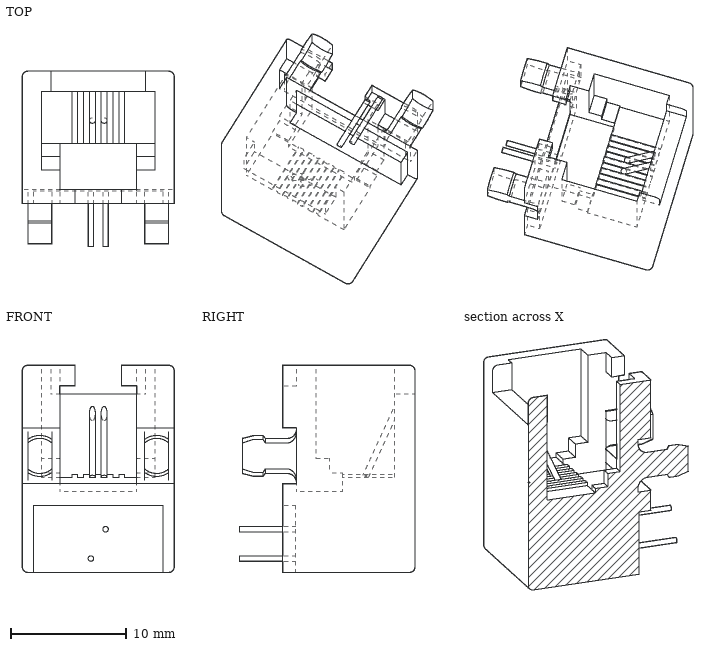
import cadquery as cq
import math

WIDTH = 13.2
DEPTH = 11.5
HEIGHT = 18.0
EDGE_RADIUS = 0.5

CAVITY_WIDTH = 9.84
CAVITY_FRONT = 2.9
CAVITY_BACK = 9.7
FLOOR_Z = 8.24
FLOOR_FRONT = 5.22

KEYWAY_WIDTH = 6.64
KEYWAY_FLOOR_Z = 7.05
LIP_DEPTH = 1.2
LIP_SLOT_WIDTH = 4.0
LIP_BOTTOM_Z = 16.2

STEP_MIDDLE = (CAVITY_FRONT + FLOOR_FRONT) / 2
LOW_STEP_Z = 8.65
HIGH_STEP_Z = 9.88

BACK_NOTCH_WIDTH = 8.22
BACK_NOTCH_Z = 15.5

RECESS_DEPTH = LIP_DEPTH
RECESS_BOTTOM_Z = 7.72
RECESS_TOP_Z = 12.56

POCKET_WIDTH = 11.2
POCKET_HEIGHT = 5.8
POCKET_DEPTH = 1.1

RIB_COUNT = 5
RIB_PITCH = 1.02
RIB_WIDTH = RIB_PITCH / 2
RIB_TOP_Z = 8.53

WIRE_RADIUS = 0.26
WIRE_LOW_Y = 7.2
WIRE_LOW_Z = 8.34
WIRE_HIGH_Z = 13.8
WIRE_EMBED = 0.8

PIN_RADIUS = 0.24
PIN_TIP_Y = -3.75
PIN_EMBED = 1.0
PIN_SPACING_X = 1.27
PIN_LOW_Z = 1.22
PIN_SPACING_Z = 2.54

POST_X = 5.07
POST_Z = 10.12
POST_WIDTH = 2.08
NECK_RADIUS = 1.53
COLLAR_RADIUS = 1.78
ROOT_RADIUS = 0.8
COLLAR_START_Y = -1.5
COLLAR_FULL_Y = -1.7
TAPER_START_Y = -2.5
POST_TIP_Y = -3.5
POST_EMBED = 0.5


def block(width, y_front, y_back, z_low, z_high, x_center=0.0):
    """Box centred on x_center and given by its Y and Z limits."""
    return (
        cq.Workplane("XY")
        .box(width, y_back - y_front, z_high - z_low, centered=(True, False, False))
        .translate((x_center, y_front, z_low))
    )


def make_housing():
    """Rounded shell with the cavity, keyway, recess and pocket removed."""
    body = block(WIDTH, 0, DEPTH, 0, HEIGHT)
    body = body.edges("|Y or >Y").fillet(EDGE_RADIUS)
    cuts = (
        block(CAVITY_WIDTH, FLOOR_FRONT, CAVITY_BACK, FLOOR_Z, HEIGHT),
        block(CAVITY_WIDTH, STEP_MIDDLE, FLOOR_FRONT, LOW_STEP_Z, HEIGHT),
        block(CAVITY_WIDTH, CAVITY_FRONT, STEP_MIDDLE, HIGH_STEP_Z, HEIGHT),
        block(KEYWAY_WIDTH, LIP_DEPTH, FLOOR_FRONT, KEYWAY_FLOOR_Z, HEIGHT),
        block(KEYWAY_WIDTH, 0, LIP_DEPTH, RECESS_BOTTOM_Z, LIP_BOTTOM_Z),
        block(LIP_SLOT_WIDTH, 0, LIP_DEPTH, LIP_BOTTOM_Z, HEIGHT),
        block(BACK_NOTCH_WIDTH, CAVITY_BACK, DEPTH, BACK_NOTCH_Z, HEIGHT),
        block(WIDTH, 0, RECESS_DEPTH, RECESS_BOTTOM_Z, RECESS_TOP_Z),
        block(POCKET_WIDTH, 0, POCKET_DEPTH, 0, POCKET_HEIGHT),
    )
    for cut in cuts:
        body = body.cut(cut)
    return body


def make_rib(x):
    """Rib on the cavity floor, running back to the rear wall."""
    return block(RIB_WIDTH, FLOOR_FRONT, CAVITY_BACK, FLOOR_Z, RIB_TOP_Z, x)


def make_wire(x):
    """Round contact wire between two floor ribs."""
    rise = WIRE_HIGH_Z - WIRE_LOW_Z
    run = CAVITY_BACK - WIRE_LOW_Y
    length = math.hypot(run, rise) + WIRE_EMBED
    start = cq.Vector(x, WIRE_LOW_Y, WIRE_LOW_Z)
    direction = cq.Vector(0, run, rise)
    return cq.Workplane(cq.Solid.makeCylinder(WIRE_RADIUS, length, start, direction))


def make_pin(x, z):
    """Solder pin reaching forward from the pocket wall."""
    length = POCKET_DEPTH + PIN_EMBED - PIN_TIP_Y
    start = cq.Vector(x, PIN_TIP_Y, z)
    return cq.Workplane(cq.Solid.makeCylinder(PIN_RADIUS, length, start, cq.Vector(0, 1, 0)))


def make_post(x):
    """Snap-in post turned about a Y axis, with a flared root and flat sides."""
    root_mid = ROOT_RADIUS * (1 - math.sqrt(0.5))
    flare_radius = NECK_RADIUS + ROOT_RADIUS
    post = (
        cq.Workplane("XY")
        .moveTo(0, POST_TIP_Y)
        .lineTo(NECK_RADIUS, POST_TIP_Y)
        .lineTo(COLLAR_RADIUS, TAPER_START_Y)
        .lineTo(COLLAR_RADIUS, COLLAR_FULL_Y)
        .lineTo(NECK_RADIUS, COLLAR_START_Y)
        .lineTo(NECK_RADIUS, RECESS_DEPTH - ROOT_RADIUS)
        .threePointArc((NECK_RADIUS + root_mid, RECESS_DEPTH - root_mid), (flare_radius, RECESS_DEPTH))
        .lineTo(flare_radius, RECESS_DEPTH + POST_EMBED)
        .lineTo(0, RECESS_DEPTH + POST_EMBED)
        .close()
        .revolve(360, (0, 0, 0), (0, 1, 0))
    )
    flats = block(POST_WIDTH, POST_TIP_Y, RECESS_DEPTH + POST_EMBED, -flare_radius, flare_radius)
    return post.intersect(flats).translate((x, 0, POST_Z))


result = make_housing()

for index in range(RIB_COUNT):
    result = result.union(make_rib((index - (RIB_COUNT - 1) / 2) * RIB_PITCH))

for side in (-1, 1):
    result = result.union(make_wire(side * RIB_PITCH / 2))
    result = result.union(make_post(side * POST_X))

result = result.union(make_pin(-PIN_SPACING_X / 2, PIN_LOW_Z))
result = result.union(make_pin(PIN_SPACING_X / 2, PIN_LOW_Z + PIN_SPACING_Z))